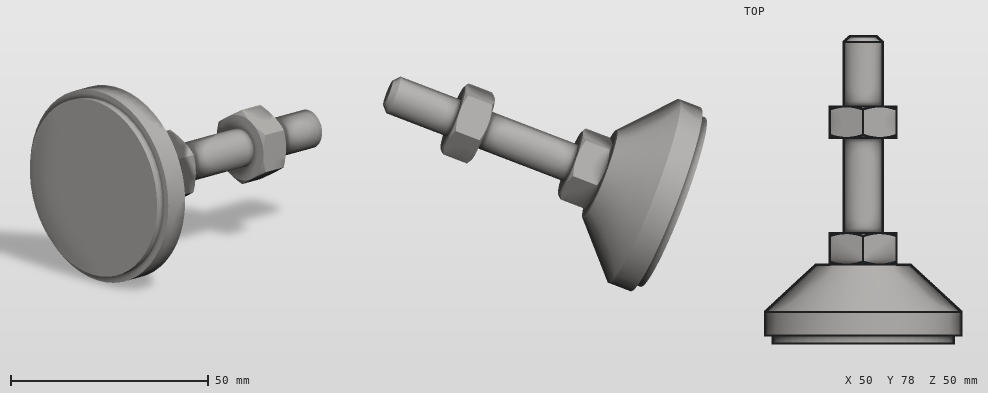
import cadquery as cq
import math

total_length = 78.0

foot_diameter = 50.0
foot_rim_height = 6.0
foot_top_diameter = 24.0
foot_cone_height = 12.0
pad_diameter = 46.0
pad_height = 2.0

rod_diameter = 10.0
rod_tip_diameter = 6.8
rod_tip_height = 1.5

nut_flats = 17.0
nut_height = 8.0
nut_bevel_angle = 30.0
upper_nut_start = 52.2

rim_top = pad_height + foot_rim_height
foot_top = rim_top + foot_cone_height


def revolve_about_y(profile):
    """Revolve (radius, Y) points around the Y axis."""
    return cq.Workplane("XY").polyline(profile).close().revolve(360, (0, 0), (0, 1))


def make_foot():
    return revolve_about_y([
        (0, 0),
        (pad_diameter / 2, 0),
        (pad_diameter / 2, pad_height),
        (foot_diameter / 2, pad_height),
        (foot_diameter / 2, rim_top),
        (foot_top_diameter / 2, foot_top),
        (0, foot_top),
    ])


def make_rod():
    radius = rod_diameter / 2
    return revolve_about_y([
        (0, pad_height),
        (radius, pad_height),
        (radius, total_length - rod_tip_height),
        (rod_tip_diameter / 2, total_length),
        (0, total_length),
    ])


def make_nut(start):
    """Hexagon with flats facing +X and -X, its corners bevelled at both ends."""
    end = start + nut_height
    corner_radius = nut_flats / math.sqrt(3)
    corners = []
    for index in range(6):
        angle = math.radians(30 + 60 * index)
        corners.append((corner_radius * math.cos(angle), corner_radius * math.sin(angle)))
    hexagon = (
        cq.Workplane("XZ", origin=(0, start, 0))
        .polyline(corners)
        .close()
        .extrude(-nut_height)
    )
    face_radius = nut_flats / 2
    bevel_depth = (corner_radius - face_radius) * math.tan(math.radians(nut_bevel_angle))
    bevelled_envelope = revolve_about_y([
        (0, start),
        (face_radius, start),
        (corner_radius, start + bevel_depth),
        (corner_radius, end - bevel_depth),
        (face_radius, end),
        (0, end),
    ])
    return hexagon.intersect(bevelled_envelope)


result = make_foot().union(make_rod())
for nut_start in (foot_top, upper_nut_start):
    result = result.union(make_nut(nut_start))